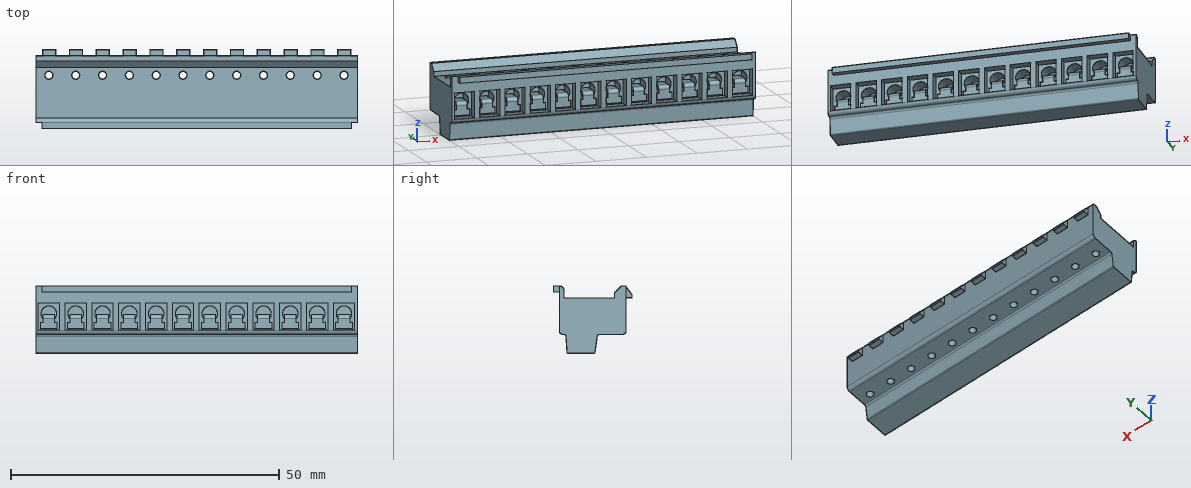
import cadquery as cq

length = 60.0
height = 12.55
body_depth = 12.5
overall_depth = 14.7
overhang = (overall_depth - body_depth) / 2

deck_z = 10.3
underside_z = 3.5
front_lip_thickness = 0.9
front_lip_round = 0.85
rear_wall_y = 10.25
rear_wall_top_z = 11.2
rear_ridge_y = 11.5
rear_top_round = 0.2
body_corner_radius = 0.7

foot_front_top_y = 1.2
foot_front_bottom_y = 1.45
foot_rear_top_y = 7.15
foot_rear_bottom_y = 6.65
foot_root_radius = 0.35
foot_edge_radius = 0.2

rail_end_gap = 1.15
rail_height = 1.15
hook_width = 2.45
hook_bottom_z = deck_z
hook_tip_z = 10.9

position_count = 12
pitch = length / position_count
terminal_offset = -0.05
pitch_centres = [(i + 0.5) * pitch for i in range(position_count)]

screw_hole_diameter = 1.45
screw_hole_y = 8.8

pocket_width = 3.95
pocket_bottom_z = 4.3
pocket_top_z = 9.35
pocket_depth = 1.75
wire_hole_radius = 1.45
wire_hole_z = 7.4
wire_hole_depth = 3.0

block_protrusion = 0.3
block_base_width = 3.1
block_base_top_z = 5.75
block_neck_width = 2.15
block_top_z = 7.2
block_top_round = 0.7
block_undercut = 0.3


def extrude_along_x(outline, start_x, size_x):
    """Extrude a closed list of (y, z) points along X."""
    return cq.Workplane("YZ").workplane(offset=start_x).polyline(outline).close().extrude(size_x)


def box_between(x_middle, size_x, y_min, y_max, z_min, z_max):
    """Box centred on x_middle and spanning the given Y and Z ranges."""
    return (
        cq.Workplane("XY")
        .box(size_x, y_max - y_min, z_max - z_min, centered=(True, False, False))
        .translate((x_middle, y_min, z_min))
    )


def round_edges(solid, edge_points, radius):
    """Fillet the X-direction edges at the given (y, z) points."""
    for y, z in edge_points:
        edge = cq.selectors.NearestToPointSelector((length / 2, y, z))
        solid = solid.edges("|X").edges(edge).fillet(radius)
    return solid


def make_body():
    outline = [
        (0, underside_z),
        (0, height),
        (front_lip_thickness, height),
        (front_lip_thickness, deck_z),
        (rear_wall_y, deck_z),
        (rear_wall_y, rear_wall_top_z),
        (rear_ridge_y, height),
        (body_depth, height),
        (body_depth, underside_z),
        (foot_rear_top_y, underside_z),
        (foot_rear_bottom_y, 0),
        (foot_front_bottom_y, 0),
        (foot_front_top_y, underside_z),
    ]
    body = extrude_along_x(outline, 0, length)
    body = round_edges(body, [(front_lip_thickness, height)], front_lip_round)
    body = round_edges(body, [(body_depth, height)], rear_top_round)
    body = round_edges(body, [(0, underside_z), (body_depth, underside_z)], body_corner_radius)
    foot_roots = [(foot_front_top_y, underside_z), (foot_rear_top_y, underside_z)]
    body = round_edges(body, foot_roots, foot_root_radius)
    foot_edges = [(foot_front_bottom_y, 0), (foot_rear_bottom_y, 0)]
    return round_edges(body, foot_edges, foot_edge_radius)


def make_rail():
    return box_between(
        length / 2, length - 2 * rail_end_gap, -overhang, 0, height - rail_height, height
    )


def make_hook(x):
    outline = [
        (body_depth, hook_bottom_z),
        (body_depth + overhang, hook_bottom_z),
        (body_depth + overhang, hook_tip_z),
        (body_depth, height - rear_top_round),
    ]
    return extrude_along_x(outline, x - hook_width / 2, hook_width)


def make_screw_hole(x):
    return (
        cq.Workplane("XY")
        .center(x, screw_hole_y)
        .circle(screw_hole_diameter / 2)
        .extrude(height)
    )


def make_wire_entry(x):
    """Space removed for one wire: pocket and round hole, less the contact block."""
    pocket = box_between(x, pocket_width, 0, pocket_depth, pocket_bottom_z, pocket_top_z)
    hole_end_y = pocket_depth + wire_hole_depth
    wire_hole = (
        cq.Workplane("XZ")
        .center(x, wire_hole_z)
        .circle(wire_hole_radius)
        .extrude(-hole_end_y)
    )
    block_front_y = pocket_depth - block_protrusion
    base = box_between(
        x, block_base_width, block_front_y, hole_end_y, pocket_bottom_z, block_base_top_z
    )
    base = base.edges("|X and <Y and <Z").chamfer(block_undercut)
    neck = box_between(
        x, block_neck_width, block_front_y, hole_end_y, block_base_top_z, block_top_z
    )
    neck = neck.edges("|X and <Y and >Z").fillet(block_top_round)
    return pocket.union(wire_hole).cut(base).cut(neck)


result = make_body().union(make_rail())
for pitch_centre in pitch_centres:
    terminal_x = pitch_centre + terminal_offset
    result = result.union(make_hook(pitch_centre))
    result = result.cut(make_screw_hole(terminal_x))
    result = result.cut(make_wire_entry(terminal_x))